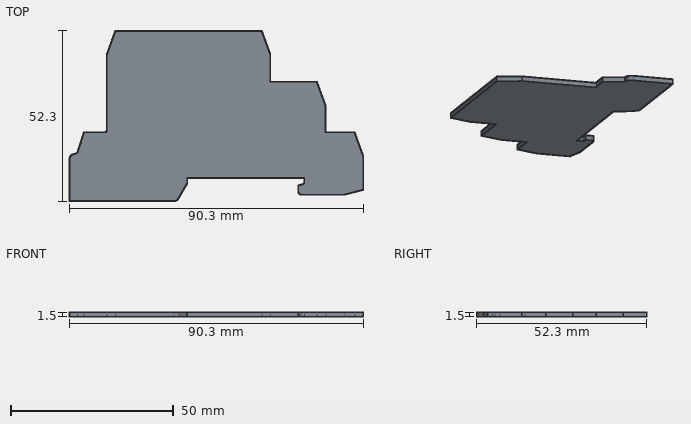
import cadquery as cq
import math

length = 90.3
height = 52.3
thickness = 1.5

shoulder_angle = 20.0
shoulder_drop = 7.3
shoulder_run = shoulder_drop * math.tan(math.radians(shoulder_angle))

low_step_y = 21.2
mid_step_y = 36.75
tower_left_x = 11.45
tower_right_x = 61.8
mid_step_right_x = 78.7
tower_root_radius = 0.6

nose_y = 14.15
nose_ledge_x = 2.4
nose_ledge_y = 14.8
left_shoulder_x = 4.45
nose_radius = 1.75

recess_left_x = 36.3
recess_right_x = 72.15
recess_y = 7.1
ramp_top_y = 5.6
ramp_angle = 60.0
ramp_foot_x = recess_left_x - ramp_top_y / math.tan(math.radians(ramp_angle))
ramp_foot_radius = 1.75

foot_y = 1.95
hook_tip_x = 70.3
hook_tip_y = 4.85
hook_root_y = 5.35
hook_toe_radius = 1.0
hook_root_radius = 0.6
foot_chamfer_x = 84.5
foot_chamfer_y = 3.45


def right_shoulder(side_x, top_y):
    """Lower and upper ends of the slope between a right-hand side and the step top."""
    return [(side_x, top_y - shoulder_drop), (side_x - shoulder_run, top_y)]


def outline_points():
    """Corners of the sharp outline, counter-clockwise from the lower left."""
    lower_edge = [
        (0, 0),
        (ramp_foot_x, 0),
        (recess_left_x, ramp_top_y),
        (recess_left_x, recess_y),
        (recess_right_x, recess_y),
        (recess_right_x, hook_root_y),
        (hook_tip_x, hook_tip_y),
        (hook_tip_x, foot_y),
        (foot_chamfer_x, foot_y),
        (length, foot_chamfer_y),
    ]
    right_steps = [
        *right_shoulder(length, low_step_y),
        (mid_step_right_x, low_step_y),
        *right_shoulder(mid_step_right_x, mid_step_y),
        (tower_right_x, mid_step_y),
        *right_shoulder(tower_right_x, height),
    ]
    left_edge = [
        (tower_left_x + shoulder_run, height),
        (tower_left_x, height - shoulder_drop),
        (tower_left_x, low_step_y),
        (left_shoulder_x, low_step_y),
        (nose_ledge_x, nose_ledge_y),
        (0, nose_y),
    ]
    return lower_edge + right_steps + left_edge


def round_corner(plate, x, y, radius):
    """Round the upright edge of the plate at the outline corner (x, y)."""
    nearest = cq.selectors.NearestToPointSelector((x, y, thickness / 2))
    return plate.edges("|Z").edges(nearest).fillet(radius)


rounded_corners = [
    (ramp_foot_x, 0, ramp_foot_radius),
    (recess_right_x, hook_root_y, hook_root_radius),
    (hook_tip_x, foot_y, hook_toe_radius),
    (tower_left_x, low_step_y, tower_root_radius),
    (0, nose_y, nose_radius),
]

plate = cq.Workplane("XY").polyline(outline_points()).close().extrude(thickness)
for corner_x, corner_y, corner_radius in rounded_corners:
    plate = round_corner(plate, corner_x, corner_y, corner_radius)

result = plate.translate((-length / 2, -height / 2, -thickness / 2))